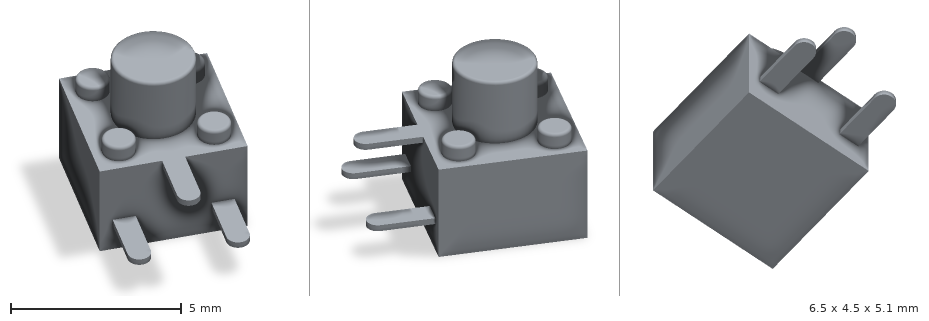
import cadquery as cq

overall_length = 6.5
housing_side = 4.5
housing_height = 3.0

button_diameter = 2.5
button_height = 2.1
stud_diameter = 1.0
stud_height = 0.5
stud_offset = 1.45
edge_round = 0.1

pin_width = 0.7
pin_thickness = 0.2
pin_pitch = 1.5
lower_pin_bottom = 0.9
upper_pin_bottom = housing_height - pin_thickness
pin_length = overall_length - housing_side


def rounded_cylinder(x, y, diameter, height):
    """Cylinder standing on the housing top, with a rounded upper rim."""
    cylinder = cq.Workplane("XY").circle(diameter / 2).extrude(height)
    return cylinder.faces(">Z").edges().fillet(edge_round).translate((x, y, housing_height))


def pin(y, bottom):
    """Flat pin with a semicircular tip, starting at the housing side."""
    half_width = pin_width / 2
    straight_length = pin_length - half_width
    return (
        cq.Workplane("XY")
        .moveTo(0, -half_width)
        .lineTo(straight_length, -half_width)
        .threePointArc((pin_length, 0), (straight_length, half_width))
        .lineTo(0, half_width)
        .close()
        .extrude(pin_thickness)
        .translate((housing_side / 2, y, bottom))
    )


result = cq.Workplane("XY").box(
    housing_side, housing_side, housing_height, centered=(True, True, False)
)

result = result.union(rounded_cylinder(0, 0, button_diameter, button_height))
for x in (-stud_offset, stud_offset):
    for y in (-stud_offset, stud_offset):
        result = result.union(rounded_cylinder(x, y, stud_diameter, stud_height))

result = result.union(pin(0, upper_pin_bottom))
for y in (-pin_pitch, pin_pitch):
    result = result.union(pin(y, lower_pin_bottom))